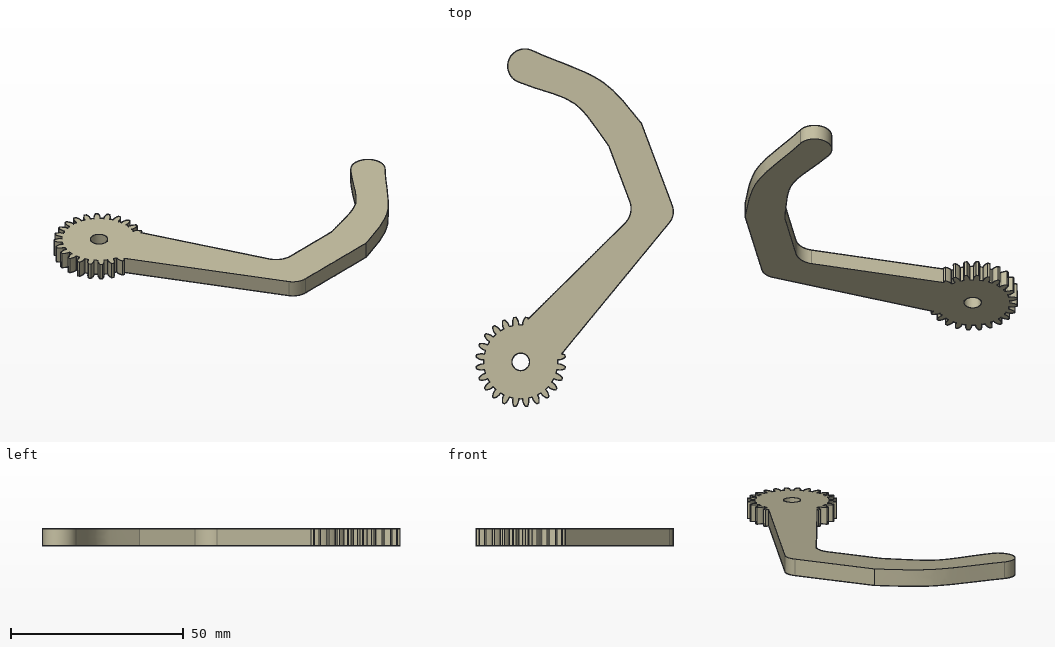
import cadquery as cq
import math

thickness = 5.0
bore_diameter = 5.0

tooth_count = 24
module = 1.0
dedendum_factor = 1.25
pressure_angle = math.radians(20)
pitch_radius = module * tooth_count / 2
tip_radius = pitch_radius + module
root_radius = pitch_radius - dedendum_factor * module
base_radius = pitch_radius * math.cos(pressure_angle)
tooth_pitch_angle = 2 * math.pi / tooth_count
flank_samples = 5
tooth_overlap = 0.5

inner_base = (-0.35, 9.95)
outer_base = (10.3, 0.4)
inner_elbow = (32.9, 42.85)
outer_elbow = (44.91, 42.55)
inner_elbow_radius = 6.0
outer_elbow_radius = 5.0
inner_knuckle = (25.5, 62.45)
outer_knuckle = (35.0, 69.0)

fingertip_center = (1.2, 85.64)
fingertip_radius = 5.0
inner_edge_slope = math.radians(-19)
outer_edge_slope = math.radians(-22)
inner_curve_points = [(9.6, 77.55), (15.8, 74.6), (20.1, 70.04)]
outer_curve_points = [(16.4, 84.85), (23.9, 80.9), (29.6, 75.6)]


def polar(radius, angle, center=(0.0, 0.0)):
    return (center[0] + radius * math.cos(angle), center[1] + radius * math.sin(angle))


def involute_roll(radius):
    """Polar angle swept by the involute between the base circle and a radius."""
    pressure = math.acos(base_radius / radius)
    return math.tan(pressure) - pressure


def half_tooth_angle(radius):
    """Half of the tooth's angular thickness at a radius on the involute."""
    return tooth_pitch_angle / 4 + involute_roll(pitch_radius) - involute_roll(radius)


def make_tooth(mid_angle):
    step = (tip_radius - base_radius) / (flank_samples - 1)
    radii = [base_radius + step * i for i in range(flank_samples)]
    right_flank = [polar(r, mid_angle - half_tooth_angle(r)) for r in radii]
    left_flank = [polar(r, mid_angle + half_tooth_angle(r)) for r in reversed(radii)]
    foot_radius = root_radius - tooth_overlap
    foot_half_angle = half_tooth_angle(base_radius)
    return (
        cq.Workplane("XY")
        .moveTo(*polar(foot_radius, mid_angle - foot_half_angle))
        .lineTo(*right_flank[0])
        .spline(right_flank[1:], includeCurrent=True)
        .threePointArc(polar(tip_radius, mid_angle), left_flank[0])
        .spline(left_flank[1:], includeCurrent=True)
        .lineTo(*polar(foot_radius, mid_angle + foot_half_angle))
        .close()
        .extrude(thickness)
    )


def make_gear():
    gear = cq.Workplane("XY").circle(root_radius).extrude(thickness)
    for i in range(tooth_count):
        gear = gear.union(make_tooth((i + 0.5) * tooth_pitch_angle))
    return gear


def edge_near(point):
    """Selector for the upright edge through a corner of the arm outline."""
    return cq.selectors.NearestToPointSelector((point[0], point[1], thickness / 2))


def make_arm():
    quarter_turn = math.pi / 2
    tip_start = polar(fingertip_radius, outer_edge_slope + quarter_turn, fingertip_center)
    tip_end = polar(fingertip_radius, inner_edge_slope - quarter_turn, fingertip_center)
    tip_middle_angle = (inner_edge_slope + outer_edge_slope) / 2 + math.pi
    tip_middle = polar(fingertip_radius, tip_middle_angle, fingertip_center)
    arm = (
        cq.Workplane("XY")
        .moveTo(*outer_base)
        .lineTo(*outer_elbow)
        .lineTo(*outer_knuckle)
        .spline(outer_curve_points[::-1] + [tip_start], includeCurrent=True)
        .threePointArc(tip_middle, tip_end)
        .spline(inner_curve_points + [inner_knuckle], includeCurrent=True)
        .lineTo(*inner_elbow)
        .lineTo(*inner_base)
        .close()
        .extrude(thickness)
    )
    arm = arm.edges("|Z").edges(edge_near(outer_elbow)).fillet(outer_elbow_radius)
    return arm.edges("|Z").edges(edge_near(inner_elbow)).fillet(inner_elbow_radius)


bore = cq.Workplane("XY").circle(bore_diameter / 2).extrude(thickness)
result = make_gear().union(make_arm()).cut(bore)